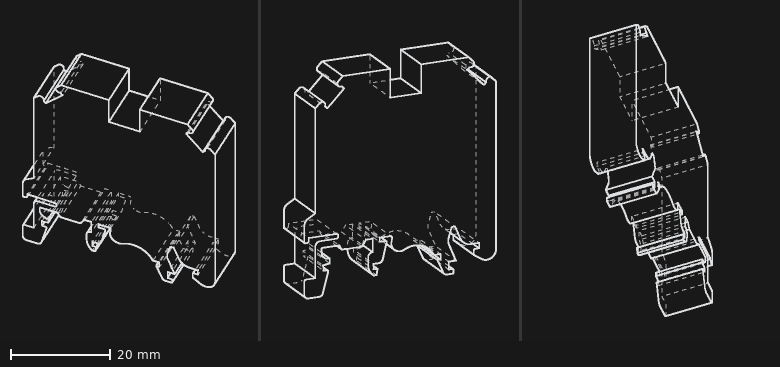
import cadquery as cq
import math


width = 42.5
thickness = 10.0
height = 46.4

body_left = 2.4
body_center = (body_left + width) / 2
body_half = (width - body_left) / 2

seat_z = 10.7
ledge_z = 5.3
catch_z = 4.15
small_round = 0.3

top_slot_width = 6.8
top_slot_depth = 6.12
top_half = 13.95
lip_underside_z = 44.15
body_wall_top_z = 40.35
ear_inner = 17.8
nib_round = 0.75
groove_bevel = 0.45
groove_floor_drop = 3.7

shoulder_top_z = 17.95
shoulder_z = 16.55
shoulder_round = 1.62
lip_width = 1.0
lip_round = 0.55
slot_top_z = 12.9
slot_height = 1.0
slot_end_x = 7.5
arm_round = 1.1

foot_bottom_x = 3.95
foot_top_round = 0.45
foot_sole_round = 0.9
foot_tip_x = 5.4
foot_tip_z = 5.45
foot_notch_x = 4.3
foot_notch_top_x = 4.18
foot_notch_top_z = 6.6
foot_tooth_x = 5.65
foot_tooth_low_z = 6.8
foot_tooth_high_z = 7.85
foot_inner_x = 3.8
foot_inner_round = 1.62
foot_ceiling_z = 10.35

pad_z = 9.35
pad_left_x = 8.3
pad_right_x = 12.75
pad_left_run = 0.55
pad_right_run = 0.9

hook_neck_left_x = 15.13
hook_neck_right_x = 16.65
hook_back_x = 14.1
hook_back_top_z = 7.85
hook_back_round = 0.97
hook_curve_z = 5.48
hook_curve_mid = (14.5, 3.9)
hook_toe_x = 15.35
hook_toe_z = 2.85
hook_toe_width = 0.65
hook_lip_x = 16.25
hook_belly_x = 17.2
hook_belly_round = 1.0
hook_shoulder_x = 18.35
hook_shoulder_z = 9.85

nose_wall_top_x = 19.55
nose_start = (19.25, 9.1)
nose_center = (21.3, 9.2)
nose_end_angle = -72
recess_round = 0.45
arch_crown = (24.17, 7.95)
arch_right_x = 28.7

clip_notch_x = 30.15
clip_barb_x = 29.45
clip_toe_x = 31.05
clip_toe_z = 0.7
clip_toe_round = 0.85
clip_lip_x = 33.1
clip_lip_height = 1.0
clip_slot_x = 32.0
clip_spur_x = 33.6
clip_spur_z = 3.4
clip_waist = (31.8, 7.7)
clip_waist_round = 1.85
clip_top_x = 32.6

heel_top_x = 33.35
heel_ceiling_x = 35.2
heel_ceiling_z = 6.45
heel_ceiling_round = 2.55
heel_notch_x = 38.7
heel_tip_x = 37.55
heel_tip_z = 4.0
heel_tip_round = 0.55
heel_corner_z = 0.9
heel_round = 2.1




def top_half_outline():
    """Right half of the top, from the body wall up to the conductor slot, as X offsets."""
    ear_tip_z = body_wall_top_z + body_half - ear_inner
    lip_tip = top_half + height - lip_underside_z
    groove_low = ear_inner - groove_bevel
    groove_high = groove_low - groove_floor_drop
    groove_high_z = lip_underside_z - groove_bevel
    groove_low_z = groove_high_z - groove_floor_drop
    return [
        (body_half, body_wall_top_z),
        (ear_inner, ear_tip_z, nib_round),
        (ear_inner, groove_low_z + groove_bevel),
        (groove_low, groove_low_z),
        (groove_high, groove_high_z),
        (groove_high + groove_bevel, lip_underside_z),
        (lip_tip, lip_underside_z, nib_round),
        (top_half, height),
        (top_slot_width / 2, height),
        (top_slot_width / 2, height - top_slot_depth),
    ]


def top_outline():
    half = top_half_outline()
    right = [(body_center + x, *rest) for x, *rest in half]
    left = [(body_center - x, *rest) for x, *rest in reversed(half)]
    return right + left


def left_side_outline():
    slot_bottom_z = slot_top_z - slot_height
    slot_radius = slot_height / 2
    slot_round_x = slot_end_x - slot_radius
    return [
        (body_left, shoulder_top_z),
        (0, shoulder_z, shoulder_round),
        (0, slot_bottom_z, small_round),
        (lip_width, slot_bottom_z, lip_round),
        (lip_width, slot_top_z),
        (slot_round_x, slot_top_z),
        (slot_end_x, slot_bottom_z + slot_radius, slot_round_x, slot_bottom_z),
        (body_left, slot_bottom_z, arm_round),
    ]


def foot_outline():
    return [
        (body_left, catch_z),
        (0, catch_z, foot_top_round),
        (0, 0, foot_sole_round),
        (foot_bottom_x, 0, foot_sole_round),
        (foot_tip_x, foot_tip_z, small_round),
        (foot_notch_x, foot_tip_z),
        (foot_notch_top_x, foot_notch_top_z),
        (foot_tooth_x, foot_tooth_low_z),
        (foot_tooth_x, foot_tooth_high_z),
        (foot_inner_x, foot_tooth_high_z, foot_inner_round),
        (foot_inner_x, foot_ceiling_z, small_round),
    ]


def pad_outline():
    return [
        (pad_left_x - pad_left_run, foot_ceiling_z),
        (pad_left_x, pad_z),
        (pad_right_x, pad_z),
        (pad_right_x + pad_right_run, seat_z),
    ]


def middle_hook_outline():
    return [
        (hook_neck_left_x, seat_z),
        (hook_neck_left_x, hook_back_top_z),
        (hook_back_x, hook_back_top_z, hook_back_round),
        (hook_back_x, hook_curve_z),
        (*hook_curve_mid, hook_toe_x, hook_toe_z),
        (hook_toe_x + hook_toe_width, hook_toe_z),
        (hook_lip_x, catch_z),
        (hook_toe_x, catch_z),
        (hook_toe_x, ledge_z),
        (hook_belly_x, ledge_z, hook_belly_round),
        (hook_shoulder_x, hook_shoulder_z, small_round),
        (hook_neck_right_x, hook_shoulder_z),
        (hook_neck_right_x, seat_z),
    ]


def nose_and_arch_outline():
    radius = math.dist(nose_start, nose_center)

    def on_nose(angle):
        return (
            nose_center[0] + radius * math.cos(math.radians(angle)),
            nose_center[1] + radius * math.sin(math.radians(angle)),
        )

    nose_middle_angle = (nose_end_angle - 180) / 2
    return [
        (nose_wall_top_x, seat_z, recess_round),
        nose_start,
        (*on_nose(nose_middle_angle), *on_nose(nose_end_angle)),
        (*arch_crown, arch_right_x, ledge_z),
    ]


def clip_outline():
    return [
        (clip_notch_x, ledge_z),
        (clip_notch_x, catch_z),
        (clip_barb_x, catch_z),
        (clip_toe_x, clip_toe_z, clip_toe_round),
        (clip_lip_x, clip_toe_z, small_round),
        (clip_lip_x, clip_toe_z + clip_lip_height, small_round),
        (clip_slot_x, clip_toe_z + clip_lip_height),
        (clip_slot_x, clip_spur_z),
        (clip_spur_x, clip_spur_z),
        (*clip_waist, clip_waist_round),
        (clip_top_x, seat_z, small_round),
    ]


def heel_outline():
    return [
        (heel_top_x, seat_z),
        (heel_ceiling_x, heel_ceiling_z, heel_ceiling_round),
        (heel_notch_x, heel_ceiling_z),
        (heel_notch_x, ledge_z),
        (heel_tip_x, ledge_z, small_round),
        (heel_tip_x, heel_tip_z, heel_tip_round),
        (width, heel_corner_z, heel_round),
    ]


def corner_point(entry):
    """Point an outline entry leads to, before any rounding."""
    return entry[2:] if len(entry) == 4 else entry[:2]


def round_corner(before, corner, after, radius):
    """Start, middle and end points of the arc that rounds a corner."""
    corner = cq.Vector(*corner)
    to_before = (cq.Vector(*before) - corner).normalized()
    to_after = (cq.Vector(*after) - corner).normalized()
    half_angle = to_before.getAngle(to_after) / 2
    setback = radius / math.tan(half_angle)
    middle_distance = radius / math.sin(half_angle) - radius
    start = corner + to_before * setback
    middle = corner + (to_before + to_after).normalized() * middle_distance
    end = corner + to_after * setback
    return start, middle, end


def draw_outline(entries):
    """Closed X-Z sketch from the outline entries; the first entry is a sharp corner."""
    sketch = cq.Workplane("XZ").moveTo(*entries[0])
    for index, entry in enumerate(entries[1:], start=1):
        if len(entry) == 4:
            sketch = sketch.threePointArc(entry[:2], entry[2:])
        elif len(entry) == 3:
            before = corner_point(entries[index - 1])
            after = corner_point(entries[(index + 1) % len(entries)])
            start, middle, end = round_corner(before, entry[:2], after, entry[2])
            sketch = sketch.lineTo(start.x, start.y)
            sketch = sketch.threePointArc((middle.x, middle.y), (end.x, end.y))
        else:
            sketch = sketch.lineTo(*entry)
    return sketch.close()


outline = (
    top_outline()
    + left_side_outline()
    + foot_outline()
    + pad_outline()
    + middle_hook_outline()
    + nose_and_arch_outline()
    + clip_outline()
    + heel_outline()
)

result = draw_outline(outline).extrude(-thickness)